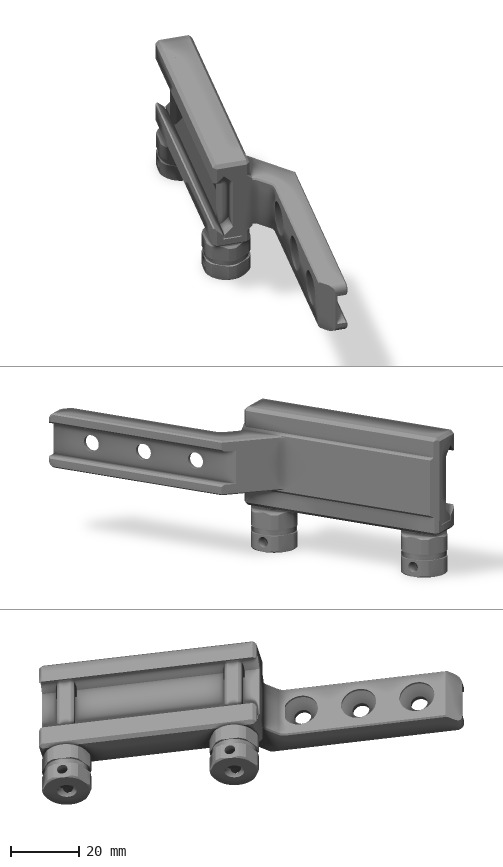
import cadquery as cq
import math

body_length = 65.0
body_front_y = -5.85
body_back_y = 5.25
body_top_z = 43.0
body_bottom_z = 12.85
body_chamfer = 1.0

rail_z = 28.15
groove_floor_y = 0.0
groove_apex_y = -2.75
groove_apex_half = 10.95
jaw_tip_half = 8.35

joint_gap = 0.38
base_bottom_z = 16.25
base_nose_y = -2.5
joint_slope_start_y = 2.95
clamp_floor_z = base_bottom_z - joint_gap

pad_back_y = 6.0
pad_corner_chamfer = 2.05

arm_z = 28.0
arm_half_height = 8.35
arm_back_y = 19.05
arm_front_y = 11.2
arm_end_x = 122.5
arm_back_bend_x = 64.65
arm_front_bend_x = 69.4
arm_bend_radius = 2.6
arm_tip_chamfer = 4.1
arm_tip_radius = 2.0
arm_edge_chamfer = 0.42
arm_root_y = 1.0
channel_floor_y = 15.95
channel_half_width = 5.1
channel_mouth_chamfer = 0.6

mount_hole_x = 75.05
mount_hole_pitch = 17.4
mount_hole_count = 3
mount_hole_diameter = 5.0
countersink_diameter = 10.4
countersink_land = 0.7

bolt_x = 7.35
bolt_pitch = 50.1
head_radius = 4.1
head_flat_y = 3.1
head_height = 3.0
head_bottom_z = body_top_z - head_height
shank_diameter = 6.3
shank_width = 5.1
shank_depth = 5.36
shank_hole_end_z = 33.9
thread_diameter = 5.8
thread_depth = 0.4
thread_turns = 15
bolt_end_z = 2.95

nut_height = 12.1
nut_width = 13.5
nut_corner_diameter = 14.45
nut_chamfer = 0.45
nut_groove_diameter = 13.15
nut_groove_bottom_z = 5.2
nut_groove_top_z = 7.05
pin_hole_diameter = 3.15
pin_hole_z = 3.0

bolt_positions = [bolt_x, bolt_x + bolt_pitch]
outside = 30.0


def prism_along_x(points):
    """Solid with a (y, z) outline, as long as the clamping body."""
    return cq.Workplane("YZ").polyline(points).close().extrude(body_length)


def prism_along_z(points, z_start, z_end):
    """Solid with an (x, y) outline, from z_start to z_end."""
    plane = cq.Workplane("XY", origin=(0, 0, z_start))
    return plane.polyline(points).close().extrude(z_end - z_start)


def cylinder(x, diameter, z_start, z_end):
    """Upright cylinder on a bolt axis."""
    plane = cq.Workplane("XY", origin=(x, 0, z_start))
    return plane.circle(diameter / 2).extrude(z_end - z_start)


def joint_slope_z(y):
    """Height of the 45 degree joint plane at y."""
    return base_bottom_z + y - joint_slope_start_y


def make_block():
    """Chamfered outer block from which base and clamp are cut."""
    depth = body_back_y - body_front_y
    height = body_top_z - body_bottom_z
    block = cq.Workplane("XY").box(body_length, depth, height, centered=False)
    block = block.edges().chamfer(body_chamfer)
    return block.translate((0, body_front_y, body_bottom_z))


def make_groove():
    """Rail groove: 45 degree flanks meeting in an apex above and below."""
    floor_half = groove_apex_half - (groove_floor_y - groove_apex_y)
    tip_y = groove_apex_y - (groove_apex_half - jaw_tip_half)
    flank = [
        (groove_floor_y, floor_half),
        (groove_apex_y, groove_apex_half),
        (tip_y, jaw_tip_half),
        (-outside, jaw_tip_half),
    ]
    upper = [(y, rail_z + half) for y, half in flank]
    lower = [(y, rail_z - half) for y, half in reversed(flank)]
    return prism_along_x(upper + lower)


def make_head(x):
    """D-shaped head, also the shape of its recess."""
    half_flat = math.sqrt(head_radius**2 - head_flat_y**2)
    return (
        cq.Workplane("XY", origin=(x, 0, head_bottom_z))
        .moveTo(-half_flat, head_flat_y)
        .threePointArc((0, -head_radius), (half_flat, head_flat_y))
        .close()
        .extrude(head_height)
    )


def make_shank(x):
    """Round shank milled to four flats, also the shape of its slot."""
    length = head_bottom_z - clamp_floor_z
    bar = cq.Workplane("XY", origin=(x, 0, clamp_floor_z)).rect(shank_width, shank_depth).extrude(length)
    return bar.intersect(cylinder(x, shank_diameter, clamp_floor_z, head_bottom_z))


def make_thread(x):
    """Threaded end below the clamp, as a stack of V-shaped rings."""
    crest_radius = thread_diameter / 2
    pitch = (body_bottom_z - bolt_end_z) / thread_turns
    outline = [(0, bolt_end_z), (crest_radius, bolt_end_z)]
    for turn in range(thread_turns):
        z = bolt_end_z + turn * pitch
        outline.append((crest_radius - thread_depth, z + pitch / 2))
        outline.append((crest_radius, z + pitch))
    outline.append((0, body_bottom_z))
    profile = cq.Workplane("XZ").polyline(outline).close()
    return profile.revolve(360, (0, 0, 0), (0, 1, 0)).translate((x, 0, 0))


def make_bolt(x):
    stem = cylinder(x, thread_diameter, body_bottom_z, clamp_floor_z)
    return make_head(x).union(make_shank(x)).union(stem).union(make_thread(x))


def make_nut(x):
    across_corners = nut_width / math.cos(math.pi / 6)
    hexagon = cq.Workplane("XY", origin=(x, 0, 0)).polygon(6, across_corners).extrude(nut_height)
    nut = cylinder(x, nut_corner_diameter, 0, nut_height).edges().chamfer(nut_chamfer).intersect(hexagon)
    groove_core = cylinder(x, nut_groove_diameter, nut_groove_bottom_z, nut_groove_top_z)
    groove = cylinder(x, 2 * nut_width, nut_groove_bottom_z, nut_groove_top_z).cut(groove_core)
    bore = cylinder(x, thread_diameter, 0, nut_height)
    pin_plane = cq.Workplane("XZ", origin=(x, 0, pin_hole_z))
    pin_hole = pin_plane.circle(pin_hole_diameter / 2).extrude(nut_width, both=True)
    return nut.cut(groove).cut(bore).cut(pin_hole)


def make_base_envelope():
    """Everything above the joint surface."""
    return prism_along_x(
        [
            (-outside, 2 * outside),
            (-outside, rail_z),
            (base_nose_y, rail_z),
            (base_nose_y, base_bottom_z),
            (joint_slope_start_y, base_bottom_z),
            (outside, joint_slope_z(outside)),
            (outside, 2 * outside),
        ]
    )


def make_pad():
    """Raised pad: 45 degree flank above, joint plane below."""
    root_y = joint_slope_start_y
    top_z = arm_z + arm_half_height
    return prism_along_x(
        [
            (pad_back_y, top_z),
            (pad_back_y, joint_slope_z(pad_back_y)),
            (root_y, joint_slope_z(root_y)),
            (root_y, top_z + pad_back_y - root_y),
        ]
    )


def make_pad_corner():
    """Waste at the -X back corner of the base."""
    start_y = pad_back_y - pad_corner_chamfer
    triangle = [(0, start_y), (outside, start_y + outside), (0, start_y + outside)]
    return prism_along_z(triangle, 0, body_top_z)


def make_arm_blank():
    """Cranked arm with rounded inner bends, rounded tip and chamfered edges."""
    riser_back_x = arm_back_bend_x - (arm_back_y - pad_back_y)
    riser_front_y = arm_front_y - (arm_front_bend_x - body_length)
    root_x = riser_back_x - arm_bend_radius
    arm = prism_along_z(
        [
            (root_x, arm_root_y),
            (root_x, pad_back_y),
            (riser_back_x, pad_back_y),
            (arm_back_bend_x, arm_back_y),
            (arm_end_x, arm_back_y),
            (arm_end_x, arm_front_y + arm_tip_chamfer),
            (arm_end_x - arm_tip_chamfer, arm_front_y),
            (arm_front_bend_x, arm_front_y),
            (body_length, riser_front_y),
            (body_length, arm_root_y),
        ],
        arm_z - arm_half_height,
        arm_z + arm_half_height,
    )
    inner_bends = [
        (riser_back_x, pad_back_y),
        (arm_front_bend_x, arm_front_y),
        (body_length, riser_front_y),
    ]
    for x, y in inner_bends:
        bend = cq.selectors.NearestToPointSelector((x, y, arm_z))
        arm = arm.edges("|Z").edges(bend).fillet(arm_bend_radius)
    arm = arm.edges("|Y and >X").fillet(arm_tip_radius)

    back_edges = arm.faces(">Y").edges("not <X")
    free_zone = cq.selectors.BoxSelector(
        (root_x, riser_front_y, 0), (arm_end_x - arm_tip_chamfer, arm_back_y - arm_edge_chamfer, body_top_z)
    )
    side_edges = arm.faces(">Z or <Z").edges(free_zone)
    return back_edges.add(side_edges).chamfer(arm_edge_chamfer)


def make_channel():
    """Channel along the back of the arm, with a chamfered mouth."""
    mouth_half = channel_half_width + channel_mouth_chamfer
    side = [
        (channel_floor_y, channel_half_width),
        (arm_back_y - channel_mouth_chamfer, channel_half_width),
        (arm_back_y, mouth_half),
        (arm_back_y + channel_mouth_chamfer, mouth_half),
    ]
    upper = [(y, arm_z + half) for y, half in side]
    lower = [(y, arm_z - half) for y, half in reversed(side)]
    return cq.Workplane("YZ").polyline(upper + lower).close().extrude(arm_end_x)


def make_mount_hole(x):
    """Through hole with a 90 degree countersink below a short cylindrical land."""
    hole_radius = mount_hole_diameter / 2
    sink_radius = countersink_diameter / 2
    cone_end = countersink_land + sink_radius - hole_radius
    outline = [
        (0, 0),
        (sink_radius, 0),
        (sink_radius, countersink_land),
        (hole_radius, cone_end),
        (hole_radius, arm_back_y - arm_front_y),
        (0, arm_back_y - arm_front_y),
    ]
    cutter = cq.Workplane("XY").polyline(outline).close().revolve(360, (0, 0, 0), (0, 1, 0))
    return cutter.translate((x, arm_front_y, arm_z))


def make_arm():
    arm = make_arm_blank().cut(make_channel())
    for index in range(mount_hole_count):
        arm = arm.cut(make_mount_hole(mount_hole_x + index * mount_hole_pitch))
    return arm


def make_base():
    base = make_block().intersect(make_base_envelope()).cut(make_groove())
    base = base.union(make_pad()).cut(make_pad_corner()).union(make_arm())
    for x in bolt_positions:
        shank_hole = cylinder(x, shank_diameter, shank_hole_end_z, head_bottom_z)
        base = base.cut(make_head(x)).cut(make_shank(x)).cut(shank_hole)
    return base


def make_clamp_envelope():
    """Everything below the joint surface, less the clearance to the base."""
    wall_y = base_nose_y - joint_gap
    return prism_along_x(
        [
            (-outside, 0),
            (-outside, rail_z),
            (wall_y, rail_z),
            (wall_y, clamp_floor_z),
            (joint_slope_start_y - joint_gap, clamp_floor_z),
            (outside, joint_slope_z(outside)),
            (outside, 0),
        ]
    )


def make_clamp():
    clamp = make_block().intersect(make_clamp_envelope()).cut(make_groove())
    for x in bolt_positions:
        clamp = clamp.cut(make_shank(x)).cut(cylinder(x, thread_diameter, body_bottom_z, clamp_floor_z))
    return clamp


base = make_base()
clamp = make_clamp()
bolts = [make_bolt(x) for x in bolt_positions]
nuts = [make_nut(x) for x in bolt_positions]

solids = []
for body in [base, clamp, *bolts, *nuts]:
    solids.extend(body.solids().vals())
result = cq.Compound.makeCompound(solids)